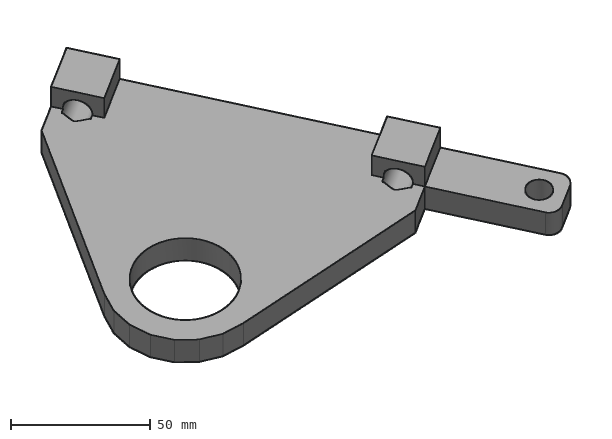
import cadquery as cq
import math

total_length = 190.0
total_depth = 117.2
total_height = 22.5

plate_thickness = 12.0
plate_width = 140.0
shoulder_depth = 32.1
nose_radius = 30.0
nose_sweep = 120.0
nose_facets = 7
facet_angle = nose_sweep / nose_facets
bore_diameter = 40.0

arm_width = 20.0
arm_corner_radius = 5.0
arm_hole_diameter = 10.0
arm_hole_inset = 10.0
block_size = arm_width

drill_diameter = 11.0
drill_depth = 21.7
drill_point_angle = 118.0
drill_axis_height = plate_thickness + 0.8

nose_x = plate_width / 2
nose_y = nose_radius * math.cos(math.radians(facet_angle / 2)) - total_depth
arm_middle_y = -arm_width / 2


def make_plate():
    """Plate tapering from its shoulders to a nose of equal flat facets."""
    outline = [(0, 0), (0, -shoulder_depth)]
    for corner in range(nose_facets + 1):
        angle = math.radians(corner * facet_angle - nose_sweep / 2)
        outline.append((nose_x + nose_radius * math.sin(angle), nose_y - nose_radius * math.cos(angle)))
    outline += [(plate_width, -shoulder_depth), (plate_width, 0)]
    plate = cq.Workplane("XY").polyline(outline).close().extrude(plate_thickness)
    bore = cq.Workplane("XY").center(nose_x, nose_y).circle(bore_diameter / 2).extrude(plate_thickness)
    return plate.cut(bore)


def make_arm():
    """Arm along the back edge with a rounded, pierced free end."""
    arm_start = plate_width - block_size
    arm = (
        cq.Workplane("XY")
        .box(total_length - arm_start, arm_width, plate_thickness, centered=False)
        .translate((arm_start, -arm_width, 0))
        .edges("|Z and >X")
        .fillet(arm_corner_radius)
    )
    hole = (
        cq.Workplane("XY")
        .center(total_length - arm_hole_inset, arm_middle_y)
        .circle(arm_hole_diameter / 2)
        .extrude(plate_thickness)
    )
    return arm.cut(hole)


def make_block(left_x):
    """Square block standing on the back edge of the plate."""
    return (
        cq.Workplane("XY")
        .box(block_size, block_size, total_height, centered=False)
        .translate((left_x, -block_size, 0))
    )


def make_drill(axis_x):
    """Drill shape entering from the back face, tip toward the nose."""
    radius = drill_diameter / 2
    point_length = radius / math.tan(math.radians(drill_point_angle / 2))
    return (
        cq.Workplane("XY")
        .polyline([(0, 0), (radius, 0), (radius, -drill_depth), (0, -drill_depth - point_length)])
        .close()
        .revolve(360, (0, 0), (0, 1))
        .translate((axis_x, 0, drill_axis_height))
    )


result = make_plate().union(make_arm())
for block_left in (0, plate_width - block_size):
    result = result.union(make_block(block_left))
    result = result.cut(make_drill(block_left + block_size / 2))